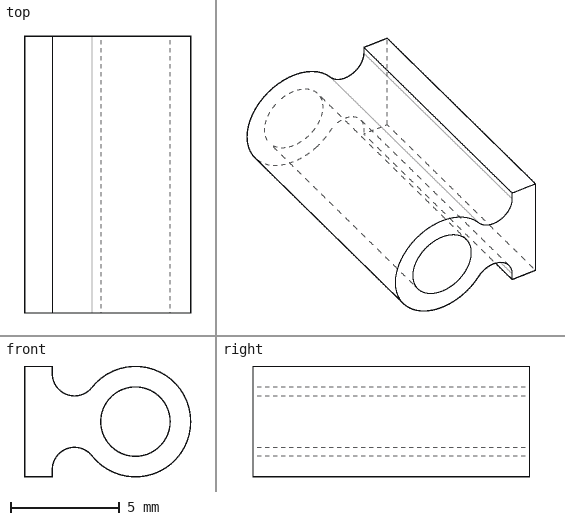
import cadquery as cq
import math

length = 12.7
tube_radius = 2.54
bore_diameter = 3.18
plate_thickness = 1.27
plate_height = 2 * tube_radius
back_to_axis = 5.08
fillet_radius = 1.02

plate_back = -back_to_axis
plate_face = plate_back + plate_thickness
half_height = plate_height / 2
fillet_x = plate_face + fillet_radius
center_distance = tube_radius + fillet_radius
fillet_z = math.sqrt(center_distance**2 - fillet_x**2)

touch_x = fillet_x * tube_radius / center_distance
touch_z = fillet_z * tube_radius / center_distance

neck_half_height = fillet_z - fillet_radius

profile = (
    cq.Workplane("XZ", origin=(0, length / 2, 0))
    .moveTo(plate_back, -half_height)
    .lineTo(plate_back, half_height)
    .lineTo(plate_face, half_height)
    .lineTo(plate_face, fillet_z)
    .threePointArc((fillet_x, neck_half_height), (touch_x, touch_z))
    .threePointArc((tube_radius, 0), (touch_x, -touch_z))
    .threePointArc((fillet_x, -neck_half_height), (plate_face, -fillet_z))
    .lineTo(plate_face, -half_height)
    .close()
)
body = profile.extrude(length)

bore = cq.Workplane("XZ", origin=(0, length / 2, 0)).circle(bore_diameter / 2).extrude(length)

result = body.cut(bore)